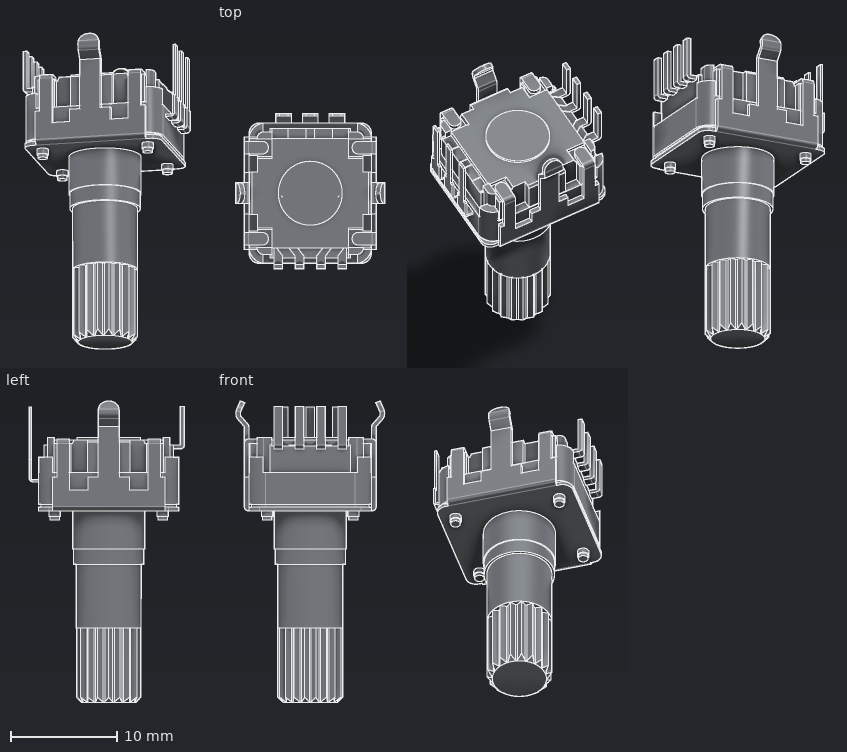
import cadquery as cq
import math


sheet = 0.45
plate_thickness = 0.37
plate_corner = 1.0
side_x = 6.23
side_inner_x = side_x - sheet
side_half_y = 5.32
side_top = 3.19
bend_radius = 0.43
window_bottom = 2.0
window_inner_y = 1.95
arm_inner_y = 3.7
arm_width = 1.2
arm_top = 6.8
tab_tip_x = 3.95
tab_end_radius = 0.57

tongue_bottom = side_top - sheet
tongue_half_y = 1.0
tongue_tip_radius = 0.97
lower_bend_start = (side_inner_x, 7.88)
lower_bend_middle = (5.8, 8.08)
lower_bend_end = (5.92, 8.25)
inner_elbow_low = (6.57, 9.0)
inner_elbow_high = (6.57, 9.33)
tip_inner = (6.17, 10.2)
tip_outer = (6.6, 10.38)
outer_elbow_high = (6.95, 9.6)
outer_elbow_middle = (7.02, 9.15)
outer_elbow_low = (6.88, 8.7)
outer_lower_bend = (side_x, 7.95)

body_half_x = side_inner_x
body_half_y = 6.63
body_corner = 1.54
body_bottom = 0.63
step_z = 3.6
spacer_inset = 0.23
ledge_half_x = 3.8
ledge_half_y = 6.11
ledge_top = 6.15
cover_half_x = 5.72
cover_half_y = 5.18
cover_top = 6.7
cover_chamfer = 0.23
notch_x = 3.6
notch_y = 3.27
notch_slope = 0.17
notch_floor = arm_top - sheet
pocket_x = 4.98
pocket_inner_y = 2.0
pocket_outer_y = 3.55
post_inner_x = 4.45
post_inner_y = 5.32
post_top = 5.1
pillar_inner_x = notch_x
pillar_outer_x = 5.0
pillar_inner_y = 5.12
pillar_outer_y = 5.77
pillar_radius = 0.6
disc_radius = 3.01
disc_top = 6.95
pad_inner_x = 0.4
pad_outer_x = 2.1

pin_width = 0.82
front_pin_places = (1.02, 3.01)
front_pin_y = 7.15
front_pin_thickness = 0.4
front_pin_top = 9.87
front_foot_bottom = 5.85
front_foot_top = 6.23
front_bend_radius = 0.35
front_jog_y = 5.92
front_jog = 0.57
front_slot_x = 3.4
back_pin_pitch = 2.5
back_pin_y = 7.5
back_pin_thickness = 0.23
back_pin_top = 9.8
back_foot_bottom = 2.73
back_foot_width = 1.5
back_shoulder = 4.83
back_bend_radius = 0.4
pin_root = 0.28

peg_x = 4.07
peg_y = 5.1
peg_radius = 0.55
peg_tip_radius = 0.45
peg_shoulder = 0.5
peg_length = 0.85

bushing_radius = 3.4
bushing_length = 3.58
collar_radius = 3.33
collar_end = 5.03
shaft_radius = 3.07
shaft_end = 18.05
knurl_start = 11.03
knurl_teeth = 18
knurl_root_radius = 2.62
knurl_root_half_angle = 1.9
shaft_chamfer = 0.5


def block(x0, x1, y0, y1, z0, z1):
    """Box given by its limits along each axis."""
    return cq.Workplane("XY").box(x1 - x0, y1 - y0, z1 - z0, centered=False).translate((x0, y0, z0))


def mirrored_x(shape):
    return shape.union(shape.mirror("YZ"))


def four_corners(shape):
    half = mirrored_x(shape)
    return half.union(half.mirror("XZ"))


def rounded_block(half_x, half_y, radius, z0, z1):
    return block(-half_x, half_x, -half_y, half_y, z0, z1).edges("|Z").fillet(radius)


def cylinder(radius, z0, z1, x=0, y=0):
    return cq.Workplane("XY", origin=(x, y, z0)).circle(radius).extrude(z1 - z0)


def make_housing():
    body = rounded_block(body_half_x, body_half_y, body_corner, body_bottom, step_z)
    spacer = rounded_block(
        body_half_x - spacer_inset, body_half_y - spacer_inset, body_corner - spacer_inset,
        plate_thickness, body_bottom,
    )
    ledge = block(-ledge_half_x, ledge_half_x, -ledge_half_y, ledge_half_y, step_z, ledge_top)
    cover = block(-cover_half_x, cover_half_x, -cover_half_y, cover_half_y, step_z, cover_top)
    cover = cover.edges("|Y and >Z").chamfer(cover_chamfer)

    pocket = block(pocket_x, body_half_x, pocket_inner_y, pocket_outer_y, step_z, cover_top)

    notch = (
        cq.Workplane("YZ", origin=(notch_x, 0, 0))
        .moveTo(notch_y, cover_top)
        .lineTo(notch_y + notch_slope, notch_floor)
        .lineTo(cover_half_y, notch_floor)
        .lineTo(cover_half_y, cover_top)
        .close()
        .extrude(body_half_x - notch_x)
    )
    cover = cover.cut(four_corners(pocket.union(notch)))

    post = rounded_block(body_half_x, body_half_y, body_corner, step_z, post_top)
    post = post.intersect(
        block(post_inner_x, body_half_x, post_inner_y, body_half_y, step_z, post_top)
    )
    pillar = block(
        pillar_inner_x, pillar_outer_x, pillar_inner_y, pillar_outer_y, step_z, disc_top
    ).edges("|Z and >X and >Y").fillet(pillar_radius)
    ledge_cheek = block(
        notch_x, ledge_half_x, cover_half_y, ledge_half_y, ledge_top, front_foot_top
    )

    pad = block(pad_inner_x, pad_outer_x, cover_half_y, ledge_half_y, ledge_top, front_foot_top)

    housing = body.union(spacer).union(ledge).union(cover)
    housing = housing.union(four_corners(post.union(pillar).union(ledge_cheek)))
    housing = housing.union(mirrored_x(pad))
    return housing.union(cylinder(disc_radius, cover_top, disc_top))


def make_tongue():
    """Spring tongue on the +X side: straight, bent outwards, then back in to a round tip."""
    profile = (
        cq.Workplane("XZ", origin=(0, tongue_half_y, 0))
        .moveTo(side_inner_x, tongue_bottom)
        .lineTo(*lower_bend_start)
        .threePointArc(lower_bend_middle, lower_bend_end)
        .lineTo(*inner_elbow_low)
        .lineTo(*inner_elbow_high)
        .lineTo(*tip_inner)
        .lineTo(*tip_outer)
        .lineTo(*outer_elbow_high)
        .threePointArc(outer_elbow_middle, outer_elbow_low)
        .lineTo(*outer_lower_bend)
        .lineTo(side_x, tongue_bottom)
        .close()
    )
    tongue = profile.extrude(2 * tongue_half_y)
    tip_x = (tip_inner[0] + tip_outer[0]) / 2
    tip_z = (tip_inner[1] + tip_outer[1]) / 2
    front_edge = cq.selectors.NearestToPointSelector((tip_x, -tongue_half_y, tip_z))
    back_edge = cq.selectors.NearestToPointSelector((tip_x, tongue_half_y, tip_z))
    return tongue.edges(front_edge + back_edge).fillet(tongue_tip_radius)


def make_bracket():
    plate = block(-body_half_x, body_half_x, -body_half_y, body_half_y, 0, plate_thickness)
    plate = plate.edges("|Z").fillet(plate_corner)

    side = block(side_inner_x, side_x, -side_half_y, side_half_y, 0, side_top)
    for window_y in (-arm_inner_y, window_inner_y):
        side = side.cut(
            block(
                side_inner_x, side_x, window_y, window_y + arm_inner_y - window_inner_y,
                window_bottom, side_top,
            )
        )
    floor = block(tab_tip_x, side_x, -side_half_y, side_half_y, 0, plate_thickness)
    side = side.union(floor).edges("|Y and >X and <Z").fillet(bend_radius)

    arm_outer_y = arm_inner_y + arm_width
    arm = block(tab_tip_x, side_x, arm_inner_y, arm_outer_y, side_top - sheet, arm_top)
    arm = arm.cut(block(tab_tip_x, side_inner_x, arm_inner_y, arm_outer_y, 0, notch_floor))
    arm = arm.edges("|Y and >X and >Z").fillet(bend_radius)
    arm = arm.edges("|Z and <X").fillet(tab_end_radius)
    side = side.union(arm).union(arm.mirror("XZ"))
    return plate.union(mirrored_x(side.union(make_tongue())))


def make_front_pin(place):
    """Pin on the -Y side whose foot jogs outwards where it leaves the housing."""
    back_y = pin_root - cover_half_y
    upright = block(
        place - pin_width / 2, place + pin_width / 2, -front_pin_y, -front_jog_y,
        front_foot_bottom, front_pin_top,
    )
    upright = upright.cut(
        block(
            place - pin_width / 2, place + pin_width / 2,
            front_pin_thickness - front_pin_y, -front_jog_y, front_foot_top, front_pin_top,
        )
    )
    upright = upright.edges("|X and <Y and <Z").fillet(front_bend_radius)
    foot = (
        cq.Workplane("XY", origin=(0, 0, front_foot_bottom))
        .moveTo(place - pin_width / 2, -front_jog_y)
        .lineTo(place + pin_width / 2, -front_jog_y)
        .lineTo(place + pin_width / 2 + front_jog, -cover_half_y)
        .lineTo(place + pin_width / 2 + front_jog, back_y)
        .lineTo(place - pin_width / 2 + front_jog, back_y)
        .lineTo(place - pin_width / 2 + front_jog, -cover_half_y)
        .close()
        .extrude(front_foot_top - front_foot_bottom)
    )
    slot = block(
        -front_slot_x, front_slot_x, -front_pin_y, back_y, front_foot_bottom, front_foot_top
    )
    return upright.union(foot.intersect(slot))


def make_back_pin(place):
    """Pin on the +Y side, wide at the foot and narrow above its shoulder."""
    inner_y = back_pin_y - back_pin_thickness
    root_y = body_half_y - pin_root
    half_foot = back_foot_width / 2
    pin = block(
        place - half_foot, place + half_foot, root_y, back_pin_y, back_foot_bottom, back_shoulder
    )
    pin = pin.cut(
        block(
            place - half_foot, place + half_foot, root_y, inner_y,
            back_foot_bottom + back_pin_thickness, back_shoulder,
        )
    )
    pin = pin.edges("|X and >Y and <Z").fillet(back_bend_radius)
    blade = block(
        place - pin_width / 2, place + pin_width / 2, inner_y, back_pin_y,
        back_shoulder, back_pin_top,
    )
    return pin.union(blade)


def make_peg():
    peg = cylinder(peg_radius, -peg_shoulder, plate_thickness, peg_x, peg_y)
    return peg.union(cylinder(peg_tip_radius, -peg_length, -peg_shoulder, peg_x, peg_y))


def polar(radius, degrees):
    angle = math.radians(degrees)
    return radius * math.cos(angle), radius * math.sin(angle)


def make_knurl():
    """Pointed teeth with narrow flat valleys between them; one tooth points along +X."""
    pitch = 360 / knurl_teeth
    outline = []
    for tooth in range(knurl_teeth):
        crest = tooth * pitch
        valley = crest + pitch / 2
        outline.append(polar(shaft_radius, crest))
        outline.append(polar(knurl_root_radius, valley - knurl_root_half_angle))
        outline.append(polar(knurl_root_radius, valley + knurl_root_half_angle))
    knurl = cq.Workplane("XY", origin=(0, 0, -shaft_end)).polyline(outline).close()
    knurl = knurl.extrude(shaft_end - knurl_start)
    envelope = cylinder(shaft_radius, -shaft_end, -knurl_start).faces("<Z").chamfer(shaft_chamfer)
    return knurl.intersect(envelope)


def make_shaft():
    shaft = cylinder(bushing_radius, -bushing_length, 0)
    shaft = shaft.union(cylinder(collar_radius, -collar_end, -bushing_length))
    shaft = shaft.union(cylinder(shaft_radius, -knurl_start, -collar_end))
    return shaft.union(make_knurl())


result = make_housing().union(make_bracket()).union(four_corners(make_peg())).union(make_shaft())

for pin_place in front_pin_places:
    result = result.union(mirrored_x(make_front_pin(pin_place)))

for pin_index in (-1, 0, 1):
    result = result.union(make_back_pin(pin_index * back_pin_pitch))